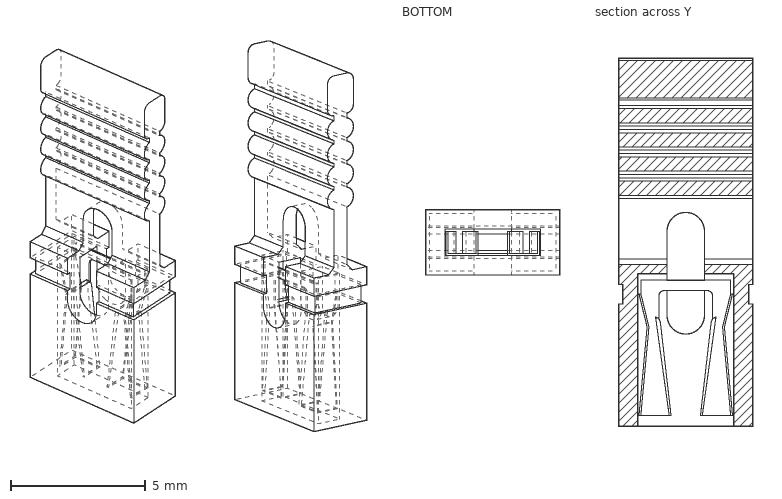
import cadquery as cq
import math

WIDTH = 5.0
DEPTH = 2.44
HEIGHT = 13.7
BLOCK_TOP = 4.56
FLANGE_BOTTOM = 5.27
FLANGE_TOP = 5.99
NECK_INSET = 0.15

STEM_HALF = 0.3
HEAD_HALF = 0.6
STEM_FOOT_CHAMFER = 0.25
HEAD_RADIUS = HEAD_HALF - STEM_HALF
HEAD_BOTTOM = 12.14
RIB_COUNT = 4
RIB_HALF_HEIGHT = 0.38
LOWEST_RIB_Z = 8.86
HIGHEST_RIB_Z = 11.56
RIB_PITCH = (HIGHEST_RIB_Z - LOWEST_RIB_Z) / (RIB_COUNT - 1)

WINDOW_WIDTH = 1.38
WINDOW_BOTTOM = 3.44
WINDOW_TOP = 7.96

CAVITY_HALF_WIDTH = 1.78
CAVITY_HALF_DEPTH = 0.5
CAVITY_TOP = 5.67

SHEET = 0.07
BRIDGE_TOP = 5.44
BRIDGE_BOTTOM = 5.05
CONTACT_BOTTOM = 0.41
LEG_INNER = 1.0
LEG_OUTER = 1.67
ARCH_RADIUS = 0.2
INNER_SPRING_TOP = 4.07
INNER_SPRING_FOOT = 0.55
TIP_SHOULDER_STEP = 0.05
TIP_SHOULDER_Z = 3.88
TIP_RIDGE_Z = 4.01
TIP_WIDTH = 0.12
OUTER_SPRING_TOP = 4.93
BUMP_X = 1.37
BUMP_Z = 3.7
SPRING_FRONT = -0.41
PLATE_FRONT = CAVITY_HALF_DEPTH - SHEET


def box(width, depth, bottom, top):
    """Block centred on the Z axis between two heights."""
    return cq.Workplane("XY").workplane(offset=bottom).rect(width, depth).extrude(top - bottom)


def extrude_along_y(outline, front, back):
    """Extrude a closed XZ outline from y = front to y = back."""
    return outline.extrude(back - front).translate((0, back, 0))


def make_pull_tab():
    """Half profile of the tab, mirrored about the centre plane and extruded across the width."""
    corner_offset = HEAD_RADIUS * math.sqrt(0.5)
    side = (
        cq.Workplane("YZ")
        .moveTo(0, FLANGE_TOP)
        .lineTo(STEM_HALF + STEM_FOOT_CHAMFER, FLANGE_TOP)
        .lineTo(STEM_HALF, FLANGE_TOP + STEM_FOOT_CHAMFER)
    )
    for index in range(RIB_COUNT):
        rib_z = LOWEST_RIB_Z + index * RIB_PITCH
        side = side.lineTo(STEM_HALF, rib_z - RIB_HALF_HEIGHT)
        side = side.threePointArc((HEAD_HALF, rib_z), (STEM_HALF, rib_z + RIB_HALF_HEIGHT))

    lower_centre_z = HEAD_BOTTOM + HEAD_RADIUS
    upper_centre_z = HEIGHT - HEAD_RADIUS
    corner_y = STEM_HALF + corner_offset
    half = (
        side.lineTo(STEM_HALF, HEAD_BOTTOM)
        .threePointArc((corner_y, lower_centre_z - corner_offset), (HEAD_HALF, lower_centre_z))
        .lineTo(HEAD_HALF, upper_centre_z)
        .threePointArc((corner_y, upper_centre_z + corner_offset), (STEM_HALF, HEIGHT))
        .lineTo(0, HEIGHT)
        .close()
        .extrude(WIDTH / 2, both=True)
    )
    return half.union(half.mirror("XZ"))


def make_window():
    length = WINDOW_TOP - WINDOW_BOTTOM
    middle = (WINDOW_TOP + WINDOW_BOTTOM) / 2
    return (
        cq.Workplane("XZ")
        .center(0, middle)
        .slot2D(length, WINDOW_WIDTH, 90)
        .extrude(DEPTH, both=True)
    )


def make_housing():
    block = box(WIDTH, DEPTH, 0, BLOCK_TOP)
    neck = box(WIDTH - 2 * NECK_INSET, DEPTH - 2 * NECK_INSET, BLOCK_TOP, FLANGE_BOTTOM)
    flange = box(WIDTH, DEPTH, FLANGE_BOTTOM, FLANGE_TOP)
    cavity = box(2 * CAVITY_HALF_WIDTH, 2 * CAVITY_HALF_DEPTH, 0, CAVITY_TOP)
    body = block.union(neck).union(flange).union(make_pull_tab())
    return body.cut(cavity).cut(make_window())


def make_half_plate():
    """Half of the bridge and one leg, lying against the back wall of the cavity."""
    arch_x = LEG_INNER - ARCH_RADIUS
    arch_z = BRIDGE_BOTTOM - ARCH_RADIUS
    arch_offset = ARCH_RADIUS * math.sqrt(0.5)
    outline = (
        cq.Workplane("XZ")
        .moveTo(0, BRIDGE_TOP)
        .lineTo(LEG_OUTER, BRIDGE_TOP)
        .lineTo(LEG_OUTER, OUTER_SPRING_TOP)
        .lineTo(BUMP_X, BUMP_Z)
        .lineTo(LEG_OUTER, CONTACT_BOTTOM)
        .lineTo(INNER_SPRING_FOOT, CONTACT_BOTTOM)
        .lineTo(LEG_INNER, INNER_SPRING_TOP)
        .lineTo(LEG_INNER, arch_z)
        .threePointArc((arch_x + arch_offset, arch_z + arch_offset), (arch_x, BRIDGE_BOTTOM))
        .lineTo(0, BRIDGE_BOTTOM)
        .close()
    )
    return extrude_along_y(outline, PLATE_FRONT, CAVITY_HALF_DEPTH)


def make_inner_spring():
    """Leaning strip along the inner edge of a leg, with a bevelled tip."""
    outline = (
        cq.Workplane("XZ")
        .moveTo(INNER_SPRING_FOOT, CONTACT_BOTTOM)
        .lineTo(LEG_INNER - TIP_SHOULDER_STEP, TIP_SHOULDER_Z)
        .lineTo(LEG_INNER, TIP_RIDGE_Z)
        .lineTo(LEG_INNER + TIP_WIDTH, INNER_SPRING_TOP)
        .lineTo(INNER_SPRING_FOOT + SHEET, CONTACT_BOTTOM)
        .close()
    )
    return extrude_along_y(outline, SPRING_FRONT, CAVITY_HALF_DEPTH)


def make_outer_spring():
    """Strip along the outer edge of a leg, bent inward to a contact bump."""
    outline = (
        cq.Workplane("XZ")
        .moveTo(LEG_OUTER, OUTER_SPRING_TOP)
        .lineTo(BUMP_X, BUMP_Z)
        .lineTo(LEG_OUTER, CONTACT_BOTTOM)
        .lineTo(LEG_OUTER + SHEET, CONTACT_BOTTOM)
        .lineTo(BUMP_X + SHEET, BUMP_Z)
        .lineTo(LEG_OUTER + SHEET, OUTER_SPRING_TOP)
        .close()
    )
    return extrude_along_y(outline, SPRING_FRONT, CAVITY_HALF_DEPTH)


def make_contact():
    half = make_half_plate().union(make_inner_spring()).union(make_outer_spring())
    return half.union(half.mirror("YZ"))


housing = make_housing()
contact = make_contact()
result = cq.Compound.makeCompound([housing.val(), contact.val()])